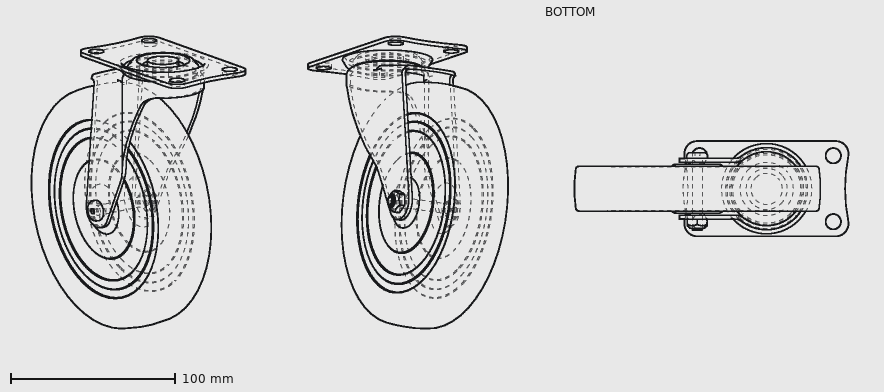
import cadquery as cq
import math

swivel_x = 42.0
wheel_radius = 75.0
plate_top = 101.0
sheet = 2.5

plate_half_x = 50.0
plate_half_y = 29.0
plate_corner_radius = 8.0
plate_end_radius = 100.0
plate_hole_x = 40.6
plate_hole_y = 20.0
plate_hole_radius = 4.5
plate_bottom = plate_top - sheet
dish_bottom = 93.5
dish_floor = 97.0
dish_rim_radius = 27.0
dish_wall_radius = 25.5
dish_rim_drop = 1.2
dish_under_radius = 27.5
dish_wall_run = 3.0
dish_floor_radius = 24.1
dish_bottom_fillet = 3.2
crown_base_radius = 21.6
crown_wall_radius = 19.0
crown_outer_radius = 17.5
crown_inner_radius = 16.2
crown_round_drop = 0.7
recess_wall_radius = 15.0
recess_floor_radius = 12.5
recess_sink = 3.0
swivel_pin_radius = 9.5
neck_radius = 20.8

leg_outer_y = 18.5
leg_inner_y = leg_outer_y - sheet
leg_end_radius = 10.9
front_lean = 5.7
rear_lean = 26.1
head_radius = 25.0
head_top = 93.0
head_fillet = 4.7
blend_radius = 6.2
blend_top = 86.9
skirt_bottom = 84.0
skirt_corner_radius = 11.8
web_end_x = -8.8
arm_blank_start_x = -17.6
web_end_top = 83.7
web_slope = 10.3
web_end_radius = 59.8
web_bend_radius = 3.0
flare_start_z = 79.2
flare_end_x = -5.6

wheel_half_width = 13.7
tread_half_width = 12.0
tread_edge_radius = 74.0
tread_fillet = 2.3
face_outer_radius = 72.0
face_recesses = [(49.5, 55.2), (30.5, 44.3)]
face_recess_depth = 0.5
face_recess_draft = 0.5
hub_base_radius = 15.5
hub_face_radius = 12.5
hub_half_width = 15.0
spacer_radius = 4.2

bolt_radius = 3.0
bolt_end_y = 25.3
bolt_end_chamfer = 0.5
bolt_head_radius = 6.3
bolt_head_height = 3.5
bolt_head_fillet = 2.1
bolt_socket_radius = 1.5
bolt_socket_depth = 1.8
nut_corner_radius = 6.9
nut_height = 5.6
nut_face_radius = 4.2
nut_straight_height = 3.2


def revolve_about_axle(outline):
    """Revolve a closed (radius, y) outline, drawn in the XY plane, about the Y axis."""
    return outline.close().revolve(360, (0, 0, 0), (0, 1, 0))


def revolve_about_swivel(outline):
    """Revolve a closed (radius, z) outline, drawn in the XZ plane, about the swivel axis."""
    return outline.close().revolve(360, (0, 0, 0), (0, 1, 0)).translate((swivel_x, 0, 0))


def plate_blank():
    """Flat plate with round corners flowing into hollow end edges."""
    corner_x = plate_half_x - plate_corner_radius
    corner_y = plate_half_y - plate_corner_radius
    center_span = plate_end_radius + plate_corner_radius
    end_angle = math.asin(corner_y / center_span)
    end_middle_x = corner_x + center_span * math.cos(end_angle) - plate_end_radius
    joint_x = corner_x + plate_corner_radius * math.cos(end_angle)
    joint_y = corner_y - plate_corner_radius * math.sin(end_angle)
    outline = (
        cq.Workplane("XY", origin=(swivel_x, 0, plate_bottom))
        .moveTo(-corner_x, plate_half_y)
        .lineTo(corner_x, plate_half_y)
        .tangentArcPoint((joint_x, joint_y), relative=False)
        .threePointArc((end_middle_x, 0), (joint_x, -joint_y))
        .tangentArcPoint((corner_x, -plate_half_y), relative=False)
        .lineTo(-corner_x, -plate_half_y)
        .tangentArcPoint((-joint_x, -joint_y), relative=False)
        .threePointArc((-end_middle_x, 0), (-joint_x, joint_y))
        .tangentArcPoint((-corner_x, plate_half_y), relative=False)
        .close()
    )
    return outline.extrude(sheet)


def make_plate():
    """Plate with four bolt holes and a pressed swivel dish around a ring crown and a central pin."""
    dish = revolve_about_swivel(
        cq.Workplane("XZ")
        .moveTo(0, plate_bottom)
        .lineTo(dish_under_radius, plate_bottom)
        .lineTo(dish_under_radius - dish_wall_run, dish_bottom)
        .lineTo(0, dish_bottom)
    )
    dish = dish.faces("<Z").edges().fillet(dish_bottom_fillet)
    recess_floor = plate_top - recess_sink
    crown_run = crown_wall_radius - crown_outer_radius
    crown_round = (crown_run**2 + crown_round_drop**2) / (2 * crown_round_drop)
    channel = revolve_about_swivel(
        cq.Workplane("XZ")
        .moveTo(crown_base_radius, dish_floor)
        .lineTo(dish_floor_radius, dish_floor)
        .lineTo(dish_wall_radius, plate_top - dish_rim_drop)
        .tangentArcPoint((dish_rim_radius, plate_top), relative=False)
        .lineTo(crown_outer_radius, plate_top)
        .radiusArc((crown_wall_radius, plate_top - crown_round_drop), crown_round)
    )
    pin_recess = revolve_about_swivel(
        cq.Workplane("XZ")
        .moveTo(swivel_pin_radius, plate_top)
        .lineTo(swivel_pin_radius, recess_floor)
        .lineTo(recess_floor_radius, recess_floor)
        .lineTo(recess_wall_radius, plate_top - crown_round_drop)
        .tangentArcPoint((crown_inner_radius, plate_top), relative=False)
    )
    neck = (
        cq.Workplane("XY", origin=(swivel_x, 0, head_top))
        .circle(neck_radius)
        .extrude(dish_bottom - head_top)
    )
    bolt_holes = (
        cq.Workplane("XY", origin=(swivel_x, 0, plate_bottom))
        .rect(2 * plate_hole_x, 2 * plate_hole_y, forConstruction=True)
        .vertices()
        .circle(plate_hole_radius)
        .extrude(sheet)
    )
    return plate_blank().union(dish).union(neck).cut(channel).cut(pin_recess).cut(bolt_holes)


def fork_envelope(inset):
    """Solid hull of the fork, pulled in by `inset` on its sides and top."""
    half_width = leg_outer_y - inset
    radius = head_radius - inset
    blend = blend_radius + inset
    top = head_top - inset
    floor_z = -2 * leg_end_radius

    slope = math.tan(math.radians(web_slope))
    drop = inset / math.cos(math.radians(web_slope))
    start_top = web_end_top - drop + (arm_blank_start_x - web_end_x) * slope
    arm_end = swivel_x - head_radius / 2
    end_top = start_top + (arm_end - arm_blank_start_x) * slope
    arm = (
        cq.Workplane("XZ")
        .moveTo(arm_blank_start_x, floor_z)
        .lineTo(arm_end, floor_z)
        .lineTo(arm_end, end_top)
        .lineTo(arm_blank_start_x, start_top)
        .close()
        .extrude(half_width, both=True)
    )
    arm = arm.faces(">Z").edges("not |Y").fillet(web_bend_radius - inset)

    head = cq.Workplane("XY", origin=(swivel_x, 0, floor_z)).circle(radius).extrude(top - floor_z)
    head = head.faces(">Z").edges().fillet(head_fillet - inset)

    center_y = half_width + blend
    center_x = -math.sqrt((radius + blend) ** 2 - center_y**2)
    touch = radius / (radius + blend)
    blends = (
        cq.Workplane("XY", origin=(swivel_x, 0, floor_z))
        .moveTo(center_x - sheet, 0)
        .lineTo(center_x - sheet, half_width)
        .lineTo(center_x, half_width)
        .tangentArcPoint((center_x * touch, center_y * touch), relative=False)
        .lineTo(center_x * touch, 0)
        .mirrorX()
        .extrude(blend_top - inset - floor_z)
    )
    return arm.union(head).union(blends)


def fork_side_profile():
    """Side outline of the fork: tapered legs, flared web end and cut-back skirt."""
    front = math.radians(front_lean)
    rear = math.radians(rear_lean)
    front_x = -leg_end_radius * math.cos(front)
    front_z = leg_end_radius * math.sin(front)
    rear_x = leg_end_radius * math.cos(rear)
    rear_z = -leg_end_radius * math.sin(rear)
    flare_start_x = front_x + (flare_start_z - front_z) * math.tan(front)
    flare_end_z = (
        web_end_top
        + (flare_end_x - web_end_x) * math.tan(math.radians(web_slope))
        - sheet / math.cos(math.radians(web_slope))
    )
    corner_x = rear_x + (skirt_bottom - rear_z) * math.tan(rear)
    corner_run = skirt_corner_radius * math.tan((math.pi / 2 - rear) / 2)
    head_end_x = swivel_x + head_radius
    profile = (
        cq.Workplane("XZ")
        .moveTo(front_x, front_z)
        .lineTo(flare_start_x, flare_start_z)
        .tangentArcPoint((flare_end_x, flare_end_z), relative=False)
        .lineTo(arm_blank_start_x, flare_end_z)
        .lineTo(arm_blank_start_x, head_top)
        .lineTo(head_end_x, head_top)
        .lineTo(head_end_x, skirt_bottom)
        .lineTo(corner_x + corner_run, skirt_bottom)
        .radiusArc(
            (corner_x - corner_run * math.sin(rear), skirt_bottom - corner_run * math.cos(rear)),
            -skirt_corner_radius,
        )
        .lineTo(rear_x, rear_z)
        .threePointArc((0, -leg_end_radius), (front_x, front_z))
        .close()
    )
    return profile.extrude(head_radius, both=True)


def web_end_trim():
    """Cutter that bows the free end of the web outward in plan."""
    bow = (
        cq.Workplane("XY", origin=(web_end_x + web_end_radius, 0, flare_start_z))
        .circle(web_end_radius)
        .extrude(head_top - flare_start_z)
    )
    end_block = (
        cq.Workplane("XY", origin=(arm_blank_start_x, 0, flare_start_z))
        .rect(-2 * arm_blank_start_x, 2 * head_radius)
        .extrude(head_top - flare_start_z)
    )
    return end_block.cut(bow)


def make_fork():
    """Sheet fork: two legs joined by a sloping web and a round swivel head."""
    shell = fork_envelope(0).cut(fork_envelope(sheet)).intersect(fork_side_profile())
    axle_hole = cq.Workplane("XZ").circle(bolt_radius).extrude(leg_outer_y, both=True)
    return shell.cut(web_end_trim()).cut(axle_hole)


def make_wheel():
    """Crowned wheel with shallow face recesses, hubs and spacers, bored for the axle bolt."""
    hub_rise = hub_half_width - wheel_half_width
    hub_run = hub_base_radius - hub_face_radius
    hub_arc = (hub_run**2 + hub_rise**2) / (2 * hub_rise)
    wheel = revolve_about_axle(
        cq.Workplane("XY")
        .moveTo(bolt_radius, -leg_inner_y)
        .lineTo(spacer_radius, -leg_inner_y)
        .lineTo(spacer_radius, -hub_half_width)
        .lineTo(hub_face_radius, -hub_half_width)
        .radiusArc((hub_base_radius, -wheel_half_width), -hub_arc)
        .lineTo(face_outer_radius, -wheel_half_width)
        .radiusArc((tread_edge_radius, -tread_half_width), -tread_fillet)
        .threePointArc((wheel_radius, 0), (tread_edge_radius, tread_half_width))
        .radiusArc((face_outer_radius, wheel_half_width), -tread_fillet)
        .lineTo(hub_base_radius, wheel_half_width)
        .radiusArc((hub_face_radius, hub_half_width), -hub_arc)
        .lineTo(spacer_radius, hub_half_width)
        .lineTo(spacer_radius, leg_inner_y)
        .lineTo(bolt_radius, leg_inner_y)
    )
    for inner_radius, outer_radius in face_recesses:
        for side in (-1, 1):
            face_y = side * wheel_half_width
            floor_y = side * (wheel_half_width - face_recess_depth)
            recess = revolve_about_axle(
                cq.Workplane("XY")
                .moveTo(inner_radius, face_y)
                .lineTo(outer_radius, face_y)
                .lineTo(outer_radius - face_recess_draft, floor_y)
                .lineTo(inner_radius + face_recess_draft, floor_y)
            )
            wheel = wheel.cut(recess)
    return wheel


def make_bolt():
    """Axle bolt with a round socket head on the -Y leg and its end beyond the +Y nut."""
    shank = (
        cq.Workplane("XZ", origin=(0, bolt_end_y, 0))
        .circle(bolt_radius)
        .extrude(bolt_end_y + leg_outer_y)
        .faces(">Y")
        .chamfer(bolt_end_chamfer)
    )
    head = (
        cq.Workplane("XZ", origin=(0, -leg_outer_y, 0))
        .circle(bolt_head_radius)
        .extrude(bolt_head_height)
        .faces("<Y")
        .edges()
        .fillet(bolt_head_fillet)
    )
    socket = (
        cq.Workplane("XZ", origin=(0, -leg_outer_y - bolt_head_height, 0))
        .circle(bolt_socket_radius)
        .extrude(-bolt_socket_depth)
    )
    return shank.union(head).cut(socket)


def make_nut():
    """Hexagon nut with a coned outer end, seated on the +Y leg."""
    hexagon = (
        cq.Workplane("XZ", origin=(0, leg_outer_y, 0))
        .transformed(rotate=(0, 0, 90))
        .polygon(6, 2 * nut_corner_radius)
        .extrude(-nut_height)
    )
    cone = revolve_about_axle(
        cq.Workplane("XY")
        .moveTo(bolt_radius, leg_outer_y)
        .lineTo(nut_corner_radius, leg_outer_y)
        .lineTo(nut_corner_radius, leg_outer_y + nut_straight_height)
        .lineTo(nut_face_radius, leg_outer_y + nut_height)
        .lineTo(bolt_radius, leg_outer_y + nut_height)
    )
    return hexagon.intersect(cone)


plate = make_plate()
fork = make_fork()
wheel = make_wheel()
bolt = make_bolt()
nut = make_nut()

result = cq.Compound.makeCompound([plate.val(), fork.val(), wheel.val(), bolt.val(), nut.val()])